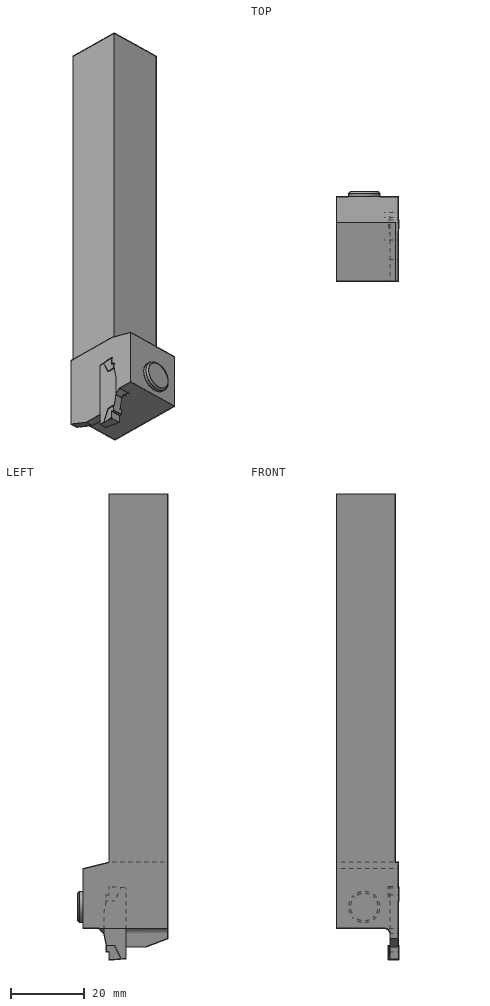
import cadquery as cq


total_height = 126.4
shank_width = 16.0
shank_depth = 15.9
head_width = 16.8
head_depth = 23.0
head_bottom = 8.6
head_shoulder = 26.5
head_back_top = 24.8

blade_side = 14.5
blade_bottom = 3.5
blade_front_bottom = 5.8
blade_slope_end = 6.0
blade_fillet = 1.5
jaw_back = 18.7

screw_diameter = 8.5
screw_x = 7.6
screw_z = 14.4
screw_height = 1.4
screw_chamfer = 0.5

insert_length = 20.0
insert_width = 3.0
insert_right = 17.0
insert_left = insert_right - insert_width
insert_front = 11.2
insert_back = 17.3
rake_edge_y = 15.9
tip_step_y = 16.7
tip_height = 3.9
chip_groove_bottom = 2.3
neck_bottom = 3.9
neck_top = 7.1
end_relief = 0.4
wing_front = 12.8
wing_top_front = 14.4
wing_front_bottom = 0.6
corner_radius = 0.4


def side_prism(points, x_start, x_end):
    """Extrude a (Y, Z) outline along X."""
    outline = cq.Workplane("YZ", origin=(x_start, 0, 0)).polyline(points).close()
    return outline.extrude(x_end - x_start)


def opposite_end(shape):
    """Return the shape's copy for the opposite end of the insert."""
    return shape.mirror("XY", (0, 0, insert_length / 2))


def make_tip_wings():
    """Side flares of one cutting tip, narrowing away from the rake face."""
    side = side_prism(
        [
            (wing_front, 0),
            (insert_back, 0),
            (insert_back, tip_height),
            (wing_top_front, tip_height),
            (wing_front, wing_front_bottom),
        ],
        insert_left,
        insert_right,
    )
    taper = (
        cq.Workplane("XY")
        .polyline(
            [
                (blade_side, wing_front),
                (insert_left, rake_edge_y),
                (insert_left, insert_back),
                (insert_right, insert_back),
                (insert_right, rake_edge_y),
                (head_width, wing_front),
            ]
        )
        .close()
        .extrude(tip_height)
    )
    return side.intersect(taper)


def make_insert():
    lower_half = [
        (insert_front, end_relief),
        (rake_edge_y, 0),
        (rake_edge_y, chip_groove_bottom),
        (tip_step_y, chip_groove_bottom),
        (tip_step_y, neck_bottom),
        (insert_back, neck_top),
    ]
    upper_half = [(y, insert_length - z) for y, z in reversed(lower_half)]
    outline = lower_half + upper_half

    wings = make_tip_wings()
    core = side_prism(outline, blade_side, head_width)
    envelope = side_prism(outline, insert_left, insert_right)
    rounded_ends = (
        cq.Workplane("XY")
        .box(insert_width, head_depth, insert_length, centered=False)
        .edges("|Y")
        .fillet(corner_radius)
        .translate((insert_left, 0, 0))
    )
    flares = wings.union(opposite_end(wings)).intersect(envelope).intersect(rounded_ends)
    return core.union(flares)


def make_blade_fillet(y_start, y_end):
    """Concave fillet between the head's underside and the blade's -X face."""
    return (
        cq.Workplane("XZ", origin=(0, y_start, 0))
        .moveTo(blade_side - blade_fillet, head_bottom)
        .radiusArc((blade_side, head_bottom - blade_fillet), blade_fillet)
        .lineTo(blade_side, head_bottom)
        .close()
        .extrude(y_start - y_end)
    )


def make_blade():
    jaw_bottom = head_bottom - blade_fillet
    outline = [
        (0, head_bottom),
        (0, blade_front_bottom),
        (blade_slope_end, blade_bottom),
        (insert_front, blade_bottom),
        (insert_front, jaw_bottom),
        (jaw_back - blade_fillet, jaw_bottom),
        (jaw_back, head_bottom),
    ]
    plate = side_prism(outline, blade_side, head_width)
    jaw_envelope = side_prism(outline, 0, head_width)
    front_fillet = make_blade_fillet(0, insert_front)
    back_fillet = make_blade_fillet(insert_back, jaw_back).intersect(jaw_envelope)
    return plate.union(front_fillet).union(back_fillet)


def make_screw_head():
    return (
        cq.Workplane("XZ", origin=(screw_x, head_depth, screw_z))
        .circle(screw_diameter / 2)
        .extrude(-screw_height)
        .faces(">Y")
        .chamfer(screw_chamfer)
    )


def make_holder(insert):
    shank = (
        cq.Workplane("XY", origin=(0, 0, head_bottom))
        .rect(shank_width, shank_depth, centered=False)
        .extrude(total_height - head_bottom)
    )
    head = side_prism(
        [
            (0, head_bottom),
            (head_depth, head_bottom),
            (head_depth, head_back_top),
            (shank_depth, head_shoulder),
            (0, head_shoulder),
        ],
        0,
        head_width,
    )
    body = shank.union(head).union(make_blade()).union(make_screw_head())
    return body.cut(insert)


insert = make_insert()
holder = make_holder(insert)

result = cq.Compound.makeCompound([holder.val(), insert.val()])